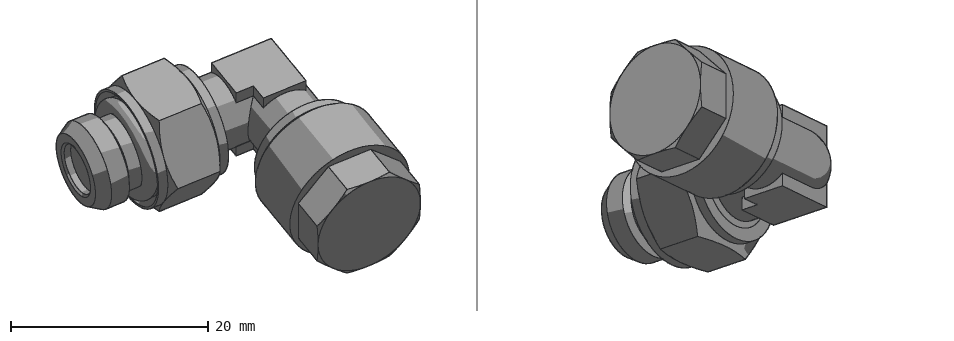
import cadquery as cq
import math


overall_length = 29.1

pipe_radius = 4.0
pad_half_width = 2.5
pad_arm_reach = 4.5
pad_height = 9.02

shoulder_reach = 8.12
shoulder_cone_reach = 8.55
sleeve_radius = 6.0
sleeve_edge_reach = 8.7
sleeve_edge_break = 0.3
collar_reach = 10.07
collar_end_reach = 17.6
collar_diameter = 14.0
collar_chamfer = 0.55
collar_mouth_chamfer = 0.23
octagon_sides = 8
octagon_across_flats = 12.0
octagon_chamfer_drop = 0.2

nut_sides = 6
nut_across_flats = 13.0
nut_chamfer_angle = 30.0
washer_radius = 6.0
washer_cone_reach = 7.13
washer_reach = 7.42
washer_cone_radius = 4.6
nut_start_reach = 8.45
nut_end_reach = 14.85
seat_end_reach = 15.92
seat_mouth_radius = 6.25
seat_depth = 0.8
ring_center_radius = 4.75
ring_tube_radius = 0.82
neck_end_reach = 17.93
tip_reach = 18.37
tip_taper_reach = 20.45
tip_radius = 4.83
inlet_reach = 21.85
bore_radius = 2.75
bore_chamfer = 0.23
bore_depth = 1.0


def corner_radius(sides, across_flats):
    """Distance from the axis to the corners of a regular polygon."""
    return across_flats / 2 / math.cos(math.pi / sides)


collar_radius = collar_diameter / 2
nut_flat_radius = nut_across_flats / 2
nut_corner_radius = corner_radius(nut_sides, nut_across_flats)
seat_floor_radius = seat_mouth_radius - seat_depth
octagon_flat_radius = octagon_across_flats / 2
octagon_corner_radius = corner_radius(octagon_sides, octagon_across_flats)
outlet_reach = overall_length - nut_corner_radius


def turned_outlet(points):
    """Revolve (reach, radius) points about the X axis."""
    return cq.Workplane("XY").polyline(points).close().revolve(360, (0, 0), (1, 0))


def turned_inlet(points):
    """Revolve (reach, radius) points about the Y axis, reach running along -Y."""
    outline = [(radius, -reach) for reach, radius in points]
    return cq.Workplane("XY").polyline(outline).close().revolve(360, (0, 0), (0, 1))


def prism(plane, sides, across_flats, start, end):
    """Regular prism along the plane's normal, with flats facing +Z and -Z."""
    radius = corner_radius(sides, across_flats)
    turn = math.pi / 2 - math.pi / sides
    angles = [turn + 2 * math.pi * i / sides for i in range(sides)]
    corners = [(radius * math.cos(a), radius * math.sin(a)) for a in angles]
    return cq.Workplane(plane).workplane(offset=start).polyline(corners).close().extrude(end - start)


def elbow_body():
    """Two pipe legs with a spherical outer corner and an L-shaped pad through it."""
    outlet_pipe = cq.Workplane("YZ").circle(pipe_radius).extrude(collar_end_reach)
    inlet_pipe = cq.Workplane("XZ").circle(pipe_radius).extrude(nut_end_reach)
    corner = cq.Workplane("XY").sphere(pipe_radius)
    w = pad_half_width
    pad_outline = [
        (-w, w),
        (pad_arm_reach, w),
        (pad_arm_reach, -w),
        (w, -w),
        (w, -pad_arm_reach),
        (-w, -pad_arm_reach),
    ]
    pad = cq.Workplane("XY").polyline(pad_outline).close().extrude(pad_height / 2, both=True)
    return outlet_pipe.union(inlet_pipe).union(corner).union(pad)


def outlet_collar():
    """Shouldered sleeve running into the round collar."""
    return turned_outlet([
        (shoulder_reach, 0),
        (shoulder_reach, pipe_radius),
        (shoulder_cone_reach, sleeve_radius - sleeve_edge_break),
        (sleeve_edge_reach, sleeve_radius),
        (collar_reach + collar_mouth_chamfer, sleeve_radius),
        (collar_reach, sleeve_radius + collar_mouth_chamfer),
        (collar_reach, collar_radius - collar_chamfer),
        (collar_reach + collar_chamfer, collar_radius),
        (collar_end_reach, collar_radius),
        (collar_end_reach, 0),
    ])


def outlet_octagon():
    """Octagonal end whose corners are cut back by a conical chamfer."""
    octagon = prism("YZ", octagon_sides, octagon_across_flats, collar_end_reach, outlet_reach)
    envelope = turned_outlet([
        (collar_end_reach, 0),
        (collar_end_reach, octagon_corner_radius),
        (outlet_reach - octagon_chamfer_drop, octagon_corner_radius),
        (outlet_reach, octagon_flat_radius),
        (outlet_reach, 0),
    ])
    return octagon.intersect(envelope)


def inlet_nut():
    """Hexagonal nut, its corners chamfered by cones at both ends."""
    slope = math.tan(math.radians(nut_chamfer_angle))
    hexagon = prism("XZ", nut_sides, nut_across_flats, nut_start_reach, nut_end_reach)
    envelope = turned_inlet([
        (nut_start_reach, 0),
        (nut_start_reach, washer_radius),
        (nut_start_reach + (nut_corner_radius - washer_radius) * slope, nut_corner_radius),
        (nut_end_reach - (nut_corner_radius - nut_flat_radius) * slope, nut_corner_radius),
        (nut_end_reach, nut_flat_radius),
        (nut_end_reach, 0),
    ])
    return hexagon.intersect(envelope)


def inlet_washer():
    """Round washer behind the nut, with a low cone down to the pipe."""
    return turned_inlet([
        (washer_cone_reach, 0),
        (washer_cone_reach, pipe_radius),
        (washer_reach, washer_cone_radius),
        (washer_reach, washer_radius),
        (nut_start_reach, washer_radius),
        (nut_start_reach, 0),
    ])


def inlet_spigot():
    """Seat flange with a countersunk face, then the neck, tip and blind bore."""
    return turned_inlet([
        (nut_end_reach, 0),
        (nut_end_reach, nut_flat_radius),
        (seat_end_reach, nut_flat_radius),
        (seat_end_reach, seat_mouth_radius),
        (seat_end_reach - seat_depth, seat_floor_radius),
        (seat_end_reach - seat_depth, pipe_radius),
        (neck_end_reach, pipe_radius),
        (tip_reach, tip_radius),
        (tip_taper_reach, tip_radius),
        (inlet_reach, pipe_radius),
        (inlet_reach, bore_radius + bore_chamfer),
        (inlet_reach - bore_chamfer, bore_radius),
        (inlet_reach - bore_depth, bore_radius),
        (inlet_reach - bore_depth, 0),
    ])


def sealing_ring():
    """Sealing ring lying in the countersunk seat around the neck."""
    return (
        cq.Workplane("XY")
        .center(ring_center_radius, -seat_end_reach)
        .circle(ring_tube_radius)
        .revolve(360, (-ring_center_radius, 0), (-ring_center_radius, 1))
    )


result = (
    elbow_body()
    .union(outlet_collar())
    .union(outlet_octagon())
    .union(inlet_washer())
    .union(inlet_nut())
    .union(inlet_spigot())
    .union(sealing_ring())
)